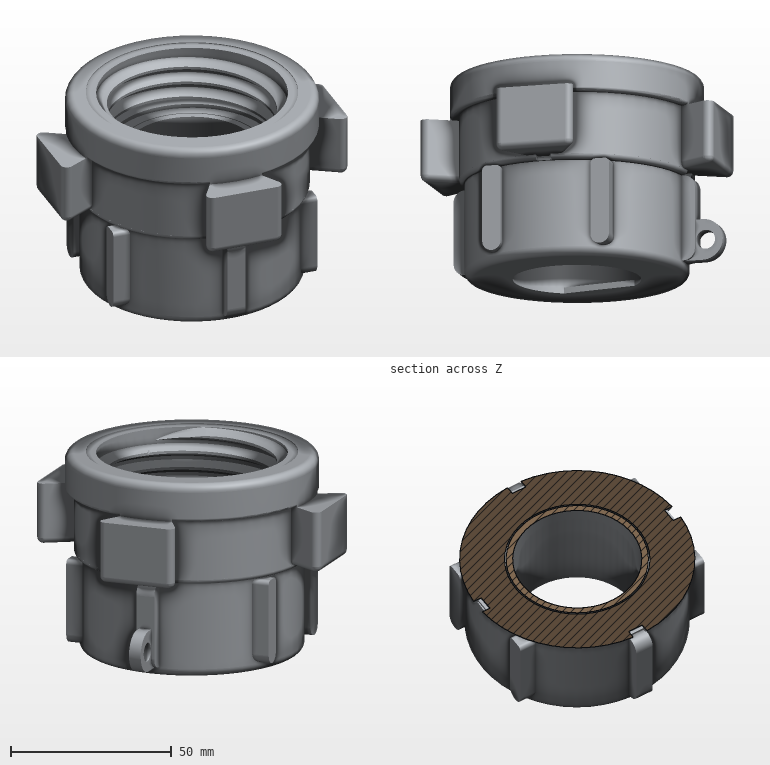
import cadquery as cq
import math


total_height = 63.3
insert_top = 63.0
base_top = 30.1
ring_bottom = 30.3
shell_bottom = 31.9
flange_bottom = 51.3
gasket_top = 44.0
gasket_thickness = 4.0
seat_level = gasket_top - gasket_thickness

base_dia = 70.0
waterway_dia = 40.0
neck_dia = 44.4
base_bottom_fillet = 2.6
rib_bottom = 3.1
rib_width = 6.0
end_rib_reach = 39.1
end_rib_fillet = 3.5
side_rib_x = 17.6
side_rib_reach = 33.9
side_rib_top_fillet = 1.4
lip_thickness = 1.9
lip_chord_distance = 15.8
lip_angle = 260.7
ear_reach = 47.9
ear_height = 13.0
ear_thickness = 3.9
ear_hole_dia = 6.0
ear_hole_x = -42.4

shell_dia = 73.3
flange_dia = 79.0
flange_top_fillet = 2.6
flange_bottom_fillet = 1.0
lug_reach = 47.5
lug_outer_half_width = 13.8
lug_side_angle = 30.0
lug_root_radius = 34.4
lug_fillet = 2.0
lug_bottom_fillet = 1.9
lug_count = 4

ring_fillet = 1.4
slot_width = 4.9
slot_step = 31.1
lower_slot_depth = 1.9
upper_slot_depth = 2.9

gasket_inner_dia = 45.0
gasket_outer_dia = 52.0
insert_dia = 66.0
thread_root_dia = 59.6
thread_crest_dia = 53.0
thread_pitch = 5.25
thread_turns = 3.5
thread_crest_width = 0.9
thread_flank_height = 1.7
thread_start_angle = 45.0
thread_top_depth = 1.7
thread_bottom_depth = 17.7
thread_overlap = 0.2
lead_in_depth = 2.0
bevel_start_depth = 3.8


def cylinder(diameter, bottom, top):
    """Cylinder on the Z axis between two heights, with its seam midway between two lugs."""
    body = cq.Workplane("XY").workplane(offset=bottom).circle(diameter / 2).extrude(top - bottom)
    return body.rotate((0, 0, 0), (0, 0, 1), 180 / lug_count)


def make_end_rib():
    """Radial rib towards +X with rounded outer corners."""
    height = base_top - rib_bottom
    rib = cq.Workplane("XY").box(end_rib_reach, rib_width, height, centered=(False, True, False))
    return rib.edges("|Y and >X").fillet(end_rib_fillet).translate((0, 0, rib_bottom))


def make_side_rib(x, direction):
    """Rib towards +Y or -Y with a round lower end, cut off level with the base top."""
    round_centre = rib_bottom + rib_width / 2
    shaft = cq.Workplane("XY").box(
        rib_width, side_rib_reach, base_top - round_centre, centered=(True, False, False)
    ).translate((0, 0, round_centre))
    lower_end = cq.Workplane("XZ").center(0, round_centre).circle(rib_width / 2).extrude(-side_rib_reach)
    rib = shaft.union(lower_end)
    rib = rib.edges("|Y and >Z").fillet(side_rib_top_fillet)
    if direction < 0:
        rib = rib.mirror("XZ")
    return rib.translate((x, 0, 0))


def make_ear():
    """Plate with a round end and a hole, standing out towards -X."""
    centre_z = rib_bottom + ear_height / 2
    end_x = -ear_reach + ear_height / 2
    plate = cq.Workplane("XY").box(-end_x, ear_thickness, ear_height, centered=(False, True, False))
    plate = plate.translate((end_x, 0, rib_bottom))
    mid_plane = cq.Workplane("XZ")
    round_end = mid_plane.center(end_x, centre_z).circle(ear_height / 2).extrude(ear_thickness / 2, both=True)
    hole = mid_plane.center(ear_hole_x, centre_z).circle(ear_hole_dia / 2).extrude(ear_thickness, both=True)
    return plate.union(round_end).cut(hole)


def make_lip():
    """Flat segment that closes one side of the waterway at the bottom of the base."""
    outer_radius = (waterway_dia + neck_dia) / 4
    plate = cq.Workplane("XY").box(
        outer_radius, 2 * outer_radius, lip_thickness, centered=(False, True, False)
    )
    plate = plate.translate((lip_chord_distance, 0, 0)).rotate((0, 0, 0), (0, 0, 1), lip_angle)
    return plate.intersect(cylinder(2 * outer_radius, 0, lip_thickness))


def make_base():
    base = cylinder(base_dia, 0, base_top).faces("<Z").edges().fillet(base_bottom_fillet)
    for angle in (0, 180):
        base = base.union(make_end_rib().rotate((0, 0, 0), (0, 0, 1), angle))
    for x in (-side_rib_x, side_rib_x):
        for direction in (-1, 1):
            base = base.union(make_side_rib(x, direction))
    base = base.union(make_ear())
    base = base.union(cylinder(neck_dia, 0, gasket_top))
    base = base.cut(cylinder(waterway_dia, 0, gasket_top))
    return base.union(make_lip())


def dovetail(bottom, top):
    """Prism towards +X that is wider outside than at its root."""
    taper = (lug_reach - lug_root_radius) * math.tan(math.radians(lug_side_angle))
    root_half_width = lug_outer_half_width - taper
    return (
        cq.Workplane("XY").workplane(offset=bottom)
        .polyline([
            (lug_root_radius, -root_half_width),
            (lug_reach, -lug_outer_half_width),
            (lug_reach, lug_outer_half_width),
            (lug_root_radius, root_half_width),
        ])
        .close().extrude(top - bottom)
    )


def make_lug():
    """Dovetail lug with rounded outer and lower edges, and its root below the flange."""
    lug = dovetail(shell_bottom, flange_bottom).edges("|Z and >X").fillet(lug_fillet)
    lug = lug.faces("<Z").edges("not <X").fillet(lug_bottom_fillet)
    root_top = flange_bottom + flange_bottom_fillet
    root = dovetail(flange_bottom, root_top).intersect(cylinder(flange_dia, flange_bottom, root_top))
    return lug.union(root)


def make_shell():
    flange = cylinder(flange_dia, flange_bottom, total_height)
    flange = flange.faces(">Z").edges().fillet(flange_top_fillet)
    flange = flange.faces("<Z").edges().fillet(flange_bottom_fillet)
    shell = cylinder(shell_dia, shell_bottom, flange_bottom).union(flange)
    for i in range(lug_count):
        shell = shell.union(make_lug().rotate((0, 0, 0), (0, 0, 1), i * 360 / lug_count))
    shell = shell.cut(cylinder(insert_dia, seat_level, total_height))
    return shell.cut(cylinder(gasket_inner_dia, shell_bottom, seat_level))


def make_slot():
    """Cutter on the +X side of the ring, deeper above its step than below it."""
    slot = cq.Workplane("XY")
    for depth, bottom in ((lower_slot_depth, ring_bottom), (upper_slot_depth, slot_step)):
        stage = cq.Workplane("XY").box(
            2 * depth, slot_width, shell_bottom - bottom, centered=(True, True, False)
        )
        slot = slot.union(stage.translate((shell_dia / 2, 0, bottom)))
    return slot


def make_ring():
    """Ring under the shell, with a slot below each lug."""
    ring = cylinder(shell_dia, ring_bottom, shell_bottom).faces("<Z").edges().fillet(ring_fillet)
    ring = ring.cut(cylinder(gasket_inner_dia, ring_bottom, shell_bottom))
    slot = make_slot()
    for i in range(lug_count):
        ring = ring.cut(slot.rotate((0, 0, 0), (0, 0, 1), i * 360 / lug_count))
    return ring


def make_gasket():
    return cylinder(gasket_outer_dia, seat_level, gasket_top).cut(
        cylinder(gasket_inner_dia, seat_level, gasket_top)
    )


def make_thread():
    """Right-handed helical ridge that stands inward from the threaded bore."""
    crest_radius = thread_crest_dia / 2
    root_radius = thread_root_dia / 2 + thread_overlap
    crest_half = thread_crest_width / 2
    root_half = crest_half + thread_flank_height
    length = thread_turns * thread_pitch
    helix = cq.Wire.makeHelix(thread_pitch, length, crest_radius)
    ridge = (
        cq.Workplane("XZ")
        .polyline([
            (crest_radius, -crest_half),
            (root_radius, -root_half),
            (root_radius, root_half),
            (crest_radius, crest_half),
        ])
        .close().sweep(cq.Workplane(helix), isFrenet=True)
    )
    bottom_level = insert_top - thread_top_depth - length
    bottom_angle = thread_start_angle - 360 * thread_turns
    return ridge.rotate((0, 0, 0), (0, 0, 1), bottom_angle).translate((0, 0, bottom_level))


def make_start_bevel():
    """Cutter that lets the first ridge grow from the bore wall at 45 degrees to full height on +X."""
    root_radius = thread_root_dia / 2
    start_angle = math.radians(thread_start_angle)
    start = cq.Vector(
        root_radius * math.cos(start_angle),
        root_radius * math.sin(start_angle),
        insert_top - bevel_start_depth,
    )
    end_root = cq.Vector(root_radius, 0, insert_top)
    end_crest = cq.Vector(thread_crest_dia / 2, 0, insert_top - lead_in_depth)
    along = end_root - start
    normal = (end_crest - end_root).cross(along)
    bevel_plane = cq.Plane(origin=end_root.toTuple(), xDir=along.toTuple(), normal=normal.toTuple())
    above_plane = cq.Workplane(bevel_plane).rect(2 * insert_dia, 2 * insert_dia).extrude(root_radius)
    first_stretch = cq.Workplane("XY").box(
        root_radius, start.y + thread_overlap, root_radius, centered=False
    ).translate((start.x - thread_pitch, 0, insert_top - root_radius))
    return above_plane.intersect(first_stretch)


def make_insert():
    """Threaded sleeve with a conical lead-in and a plain bore around the gasket."""
    sleeve = cylinder(insert_dia, seat_level, insert_top)
    sleeve = sleeve.cut(cylinder(gasket_outer_dia, seat_level, insert_top))
    sleeve = sleeve.cut(cylinder(thread_root_dia, insert_top - thread_bottom_depth, insert_top))
    lead_in = (
        cq.Workplane("XY").workplane(offset=insert_top - lead_in_depth).circle(thread_crest_dia / 2)
        .workplane(offset=lead_in_depth).circle(thread_root_dia / 2).loft()
    )
    envelope = cylinder(insert_dia, seat_level, insert_top).cut(lead_in)
    thread = make_thread().intersect(envelope.cut(make_start_bevel()))
    return sleeve.union(thread)


base = make_base()
shell = make_shell()
ring = make_ring()
gasket = make_gasket()
insert = make_insert()

result = cq.Compound.makeCompound([
    base.val(),
    shell.val(),
    ring.val(),
    gasket.val(),
    insert.val(),
])